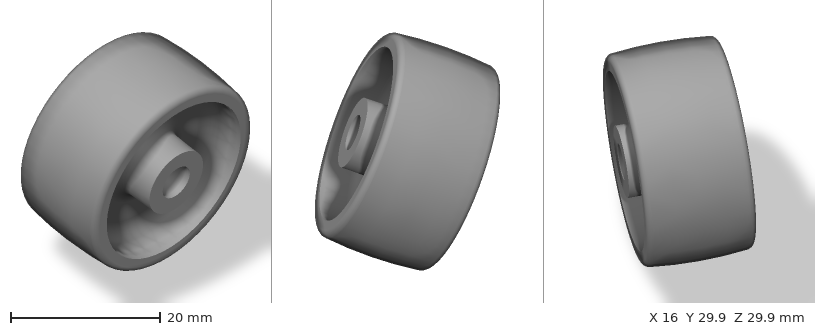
import cadquery as cq
import math

outer_diameter = 29.9
hub_length = 16.0
rim_width = 15.0
bore_diameter = 5.0
web_thickness = 3.2

hub_end_radius = 4.93
rim_opening_radius = 12.3
rim_face_radius = 13.55
shoulder_radius = 14.55
shoulder_width = 0.78
web_fillet = 1.97
draft_angle = 1.0

half_hub = hub_length / 2
half_rim = rim_width / 2
half_web = web_thickness / 2
draft = math.tan(math.radians(draft_angle))
hub_root_radius = hub_end_radius + draft * (half_hub - half_web)
recess_root_radius = rim_opening_radius - draft * (half_rim - half_web)


def edge_rounding_middle():
    """Middle point of the rounding, bulging outward between rim face and tread."""
    part_way = math.sin(math.radians(45))
    x = half_rim - shoulder_width * (1 - part_way)
    radius = rim_face_radius + (shoulder_radius - rim_face_radius) * part_way
    return x, radius


def solid_wheel():
    """Crowned tread with rounded edges, without hub or recesses."""
    shoulder_x = half_rim - shoulder_width
    middle_x, middle_radius = edge_rounding_middle()
    profile = (
        cq.Workplane("XY")
        .moveTo(-half_rim, 0)
        .lineTo(-half_rim, rim_face_radius)
        .threePointArc((-middle_x, middle_radius), (-shoulder_x, shoulder_radius))
        .threePointArc((0, outer_diameter / 2), (shoulder_x, shoulder_radius))
        .threePointArc((middle_x, middle_radius), (half_rim, rim_face_radius))
        .lineTo(half_rim, 0)
        .close()
    )
    return profile.revolve(360, (0, 0, 0), (1, 0, 0))


def recess(side):
    """Ring-shaped recess between hub and rim; side is -1 or +1 along X."""
    ring = (
        cq.Workplane("XY")
        .moveTo(side * half_web, hub_root_radius)
        .lineTo(side * half_web, recess_root_radius)
        .lineTo(side * half_rim, rim_opening_radius)
        .lineTo(side * half_hub, rim_opening_radius)
        .lineTo(side * half_hub, hub_end_radius)
        .close()
        .revolve(360, (0, 0, 0), (1, 0, 0))
    )
    floor = "<X" if side > 0 else ">X"
    return ring.faces(floor).edges().fillet(web_fillet)


hub = cq.Workplane("YZ").circle(hub_root_radius).extrude(half_hub, both=True)
bore = cq.Workplane("YZ").circle(bore_diameter / 2).extrude(half_hub, both=True)

result = solid_wheel().union(hub)
for side in (-1, 1):
    result = result.cut(recess(side))
result = result.cut(bore)